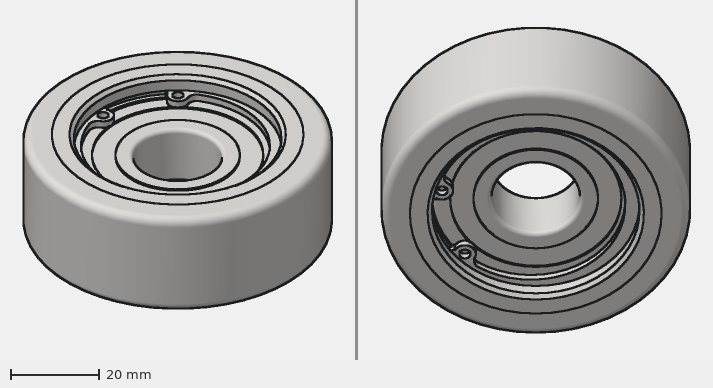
import cadquery as cq
import math

wheel_width = 25.0
tyre_radius = 35.0
tyre_edge_round = 2.0
hub_radius = 28.5
hub_bore_chamfer = 1.0

bearing_radius = 47.0 / 2
bearing_bore_radius = 20.0 / 2
bearing_width = 14.0
race_edge_round = 1.0
outer_race_inner_radius = 19.4
inner_race_outer_radius = 14.1
seal_recess = 0.4
seal_thickness = 1.0

clip_thickness = 1.75
clip_outer_radius = 49.5 / 2
clip_inner_radius = 21.4
clip_inner_offset = -1.16
lug_radius = 2.5
lug_hole_radius = 1.25
lug_x = -19.4
lug_y = 9.4
lug_blend_radius = 2.2

half_width = wheel_width / 2
clip_bottom = bearing_width / 2
clip_top = clip_bottom + clip_thickness


def make_ring(outer_radius, inner_radius, height, bottom):
    """Plain ring around the Z axis, standing on the height `bottom`."""
    plane = cq.Workplane("XY").workplane(offset=bottom)
    return plane.circle(outer_radius).circle(inner_radius).extrude(height)


def make_tyre():
    tyre = make_ring(tyre_radius, hub_radius, wheel_width, -half_width)
    outer_edges = cq.selectors.RadiusNthSelector(-1)
    return tyre.edges("%CIRCLE").edges(outer_edges).fillet(tyre_edge_round)


def make_hub():
    """Rim between tyre and bearing, with one retaining-ring groove on each side of the bearing."""
    hub = make_ring(hub_radius, bearing_radius, wheel_width, -half_width)
    bore_edges = cq.selectors.RadiusNthSelector(0)
    hub = hub.edges("%CIRCLE").edges(bore_edges).chamfer(hub_bore_chamfer)
    for groove_bottom in (clip_bottom, -clip_top):
        hub = hub.cut(make_ring(clip_outer_radius, bearing_bore_radius, clip_thickness, groove_bottom))
    return hub


def make_outer_race():
    race = make_ring(bearing_radius, outer_race_inner_radius, bearing_width, -bearing_width / 2)
    outer_edges = cq.selectors.RadiusNthSelector(-1)
    return race.edges("%CIRCLE").edges(outer_edges).fillet(race_edge_round)


def make_inner_race():
    race = make_ring(inner_race_outer_radius, bearing_bore_radius, bearing_width, -bearing_width / 2)
    bore_edges = cq.selectors.RadiusNthSelector(0)
    return race.edges("%CIRCLE").edges(bore_edges).fillet(race_edge_round)


def make_upper_seal():
    """Disc that closes the gap between the two races, set slightly below their faces."""
    seal_bottom = bearing_width / 2 - seal_recess - seal_thickness
    return make_ring(outer_race_inner_radius, inner_race_outer_radius, seal_thickness, seal_bottom)


def lug_blend_corner():
    """Point where the +Y lug's circle leaves the ring's inner circle, on the side away from the gap."""
    run = lug_x - clip_inner_offset
    distance = math.hypot(run, lug_y)
    direction = math.atan2(lug_y, run)
    cosine = (distance**2 + clip_inner_radius**2 - lug_radius**2) / (2 * distance * clip_inner_radius)
    angle = direction - math.acos(cosine)
    return clip_inner_offset + clip_inner_radius * math.cos(angle), clip_inner_radius * math.sin(angle)


def make_upper_clip():
    """Open ring with an eccentric inner edge and two drilled lugs beside its gap on the -X side."""
    plane = cq.Workplane("XY").workplane(offset=clip_bottom)
    lug_centres = [(lug_x, lug_y), (lug_x, -lug_y)]

    clip = plane.circle(clip_outer_radius).extrude(clip_thickness)
    clip = clip.cut(plane.center(clip_inner_offset, 0).circle(clip_inner_radius).extrude(clip_thickness))

    gap_half_angle = math.atan2(lug_y, -lug_x) - math.asin(lug_radius / math.hypot(lug_x, lug_y))
    gap_length = 2 * clip_outer_radius
    gap_half_width = gap_length * math.tan(gap_half_angle)
    gap = (
        plane.polyline([(0, 0), (-gap_length, gap_half_width), (-gap_length, -gap_half_width)])
        .close()
        .extrude(clip_thickness)
    )
    clip = clip.cut(gap)

    clip = clip.union(plane.pushPoints(lug_centres).circle(lug_radius).extrude(clip_thickness))
    corner_x, corner_y = lug_blend_corner()
    clip_middle = (clip_bottom + clip_top) / 2
    for side in (1, -1):
        corner = cq.selectors.NearestToPointSelector((corner_x, side * corner_y, clip_middle))
        clip = clip.edges("|Z").edges(corner).fillet(lug_blend_radius)
    return clip.cut(plane.pushPoints(lug_centres).circle(lug_hole_radius).extrude(clip_thickness))


tyre = make_tyre()
hub = make_hub()
outer_race = make_outer_race()
inner_race = make_inner_race()

seals = []
clips = []
upper_seal = make_upper_seal()
upper_clip = make_upper_clip()
for side_seal, side_clip in (
    (upper_seal, upper_clip),
    (upper_seal.mirror("XY"), upper_clip.mirror("XY")),
):
    seals.append(side_seal.val())
    clips.append(side_clip.val())

result = cq.Compound.makeCompound(
    [tyre.val(), hub.val(), outer_race.val(), inner_race.val(), *seals, *clips]
)